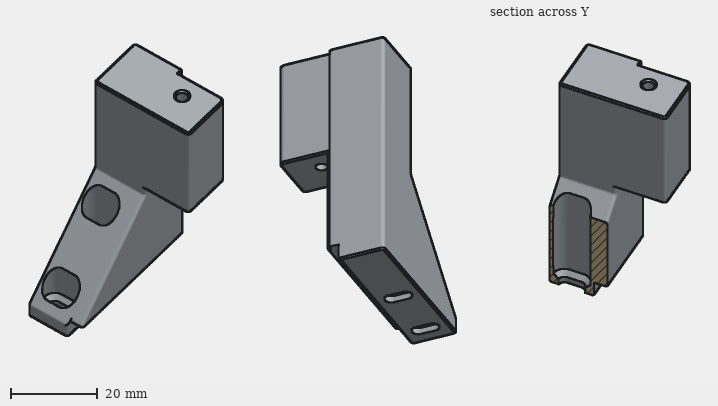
import cadquery as cq
import math

WIDTH = 27.5
DEPTH = 40.5
HEIGHT = 58.0

COLUMN_WIDTH = 14.95
HEAD_FRONT = 25.0
HEAD_BOTTOM = 31.05

FOOT_WIDTH = 11.5
FOOT_HEIGHT = 4.05
SLOPE_TOP = FOOT_HEIGHT + HEAD_FRONT
SLOPE_MIDDLE_Z = (FOOT_HEIGHT + SLOPE_TOP) / 2

RELIEF_X = 14.1
RELIEF_DEPTH = 1.5
RELIEF_FACE_Y = DEPTH - RELIEF_DEPTH

EDGE_RADIUS = 0.8
EDGE_CHAMFER = 0.4
BACK_CORNER_RADIUS = 1.5

SLOT_X = 5.75
SLOT_YS = (5.0, 20.0)
SLOT_TRAVEL = 3.6
SLOT_WIDTH = 3.2
POCKET_WIDTH = 5.8
POCKET_FLOOR = 3.0

COUNTERSINK_ANGLE = 90

HOLE_X = 18.9
HOLE_Y = 33.7
HOLE_DIAMETER = 2.85
HOLE_RIM_DIAMETER = 3.75


def edges_through(body, points):
    """The edges of a body that pass closest to the given points."""
    found = body.edges(cq.selectors.NearestToPointSelector(points[0]))
    for point in points[1:]:
        found = found.add(body.edges(cq.selectors.NearestToPointSelector(point)))
    return found


def block(low, high):
    """Rectangular block between two opposite corners."""
    size = [end - start for start, end in zip(low, high)]
    return cq.Workplane("XY", origin=low).box(*size, centered=False)


def make_foot_side():
    """Left part: upright with a sloped brace that runs down to the foot."""
    body = (
        cq.Workplane("YZ")
        .polyline([
            (0, 0),
            (DEPTH, 0),
            (DEPTH, HEIGHT),
            (HEAD_FRONT, HEIGHT),
            (HEAD_FRONT, SLOPE_TOP),
            (0, FOOT_HEIGHT),
        ])
        .close()
        .extrude(FOOT_WIDTH)
    )
    middle_x = FOOT_WIDTH / 2
    rounded = [
        (0, DEPTH, HEIGHT / 2),
        (0, HEAD_FRONT, (SLOPE_TOP + HEIGHT) / 2),
        (0, HEAD_FRONT / 2, SLOPE_MIDDLE_Z),
        (0, 0, FOOT_HEIGHT / 2),
        (FOOT_WIDTH, 0, FOOT_HEIGHT / 2),
        (middle_x, 0, FOOT_HEIGHT),
        (middle_x, HEAD_FRONT, SLOPE_TOP),
    ]
    body = edges_through(body, rounded).fillet(EDGE_RADIUS)
    return body.faces("<Z").edges().chamfer(EDGE_CHAMFER)


def make_column_side():
    """Right part: column raised above the base plane, carrying the head."""
    start_x = FOOT_WIDTH / 2
    brace = (
        cq.Workplane("YZ", origin=(start_x, 0, 0))
        .polyline([
            (0, FOOT_HEIGHT),
            (RELIEF_FACE_Y, FOOT_HEIGHT),
            (RELIEF_FACE_Y, HEIGHT),
            (HEAD_FRONT, HEIGHT),
            (HEAD_FRONT, SLOPE_TOP),
        ])
        .close()
        .extrude(COLUMN_WIDTH - start_x)
    )
    head = block((start_x, HEAD_FRONT, HEAD_BOTTOM), (WIDTH, RELIEF_FACE_Y, HEIGHT))
    back_strip = block((start_x, RELIEF_FACE_Y, FOOT_HEIGHT), (RELIEF_X, DEPTH, HEIGHT))
    body = brace.union(head).union(back_strip).clean()

    head_middle_z = (HEAD_BOTTOM + HEIGHT) / 2
    body = edges_through(body, [(WIDTH, RELIEF_FACE_Y, head_middle_z)]).fillet(BACK_CORNER_RADIUS)
    rounded = [
        (RELIEF_X, DEPTH, HEIGHT / 2),
        (WIDTH, HEAD_FRONT, head_middle_z),
        (COLUMN_WIDTH, HEAD_FRONT, (SLOPE_TOP + HEAD_BOTTOM) / 2),
        (COLUMN_WIDTH, HEAD_FRONT / 2, SLOPE_MIDDLE_Z),
        (COLUMN_WIDTH, HEAD_FRONT, FOOT_HEIGHT),
        (FOOT_WIDTH, 0, FOOT_HEIGHT),
        (FOOT_WIDTH, HEAD_FRONT, SLOPE_TOP),
    ]
    body = edges_through(body, rounded).fillet(EDGE_RADIUS)
    overhang_middle_x = (COLUMN_WIDTH + WIDTH) / 2
    head_rim = [
        (overhang_middle_x, HEAD_FRONT, HEAD_BOTTOM),
        (WIDTH, (HEAD_FRONT + RELIEF_FACE_Y) / 2, HEAD_BOTTOM),
        (overhang_middle_x, RELIEF_FACE_Y, HEAD_BOTTOM),
    ]
    return edges_through(body, head_rim).chamfer(EDGE_CHAMFER)


def slot_prism(width, bottom, height):
    """Vertical slot, centred on the origin, with a fixed travel along X."""
    return (
        cq.Workplane("XY", origin=(0, 0, bottom))
        .slot2D(SLOT_TRAVEL + width, width)
        .extrude(height)
    )


def make_slot_cutter():
    """Clearance slot opening by a countersunk flare into the screw head pocket."""
    half_angle = COUNTERSINK_ANGLE / 2
    flare_depth = (POCKET_WIDTH - SLOT_WIDTH) / 2 / math.tan(math.radians(half_angle))
    funnel = (
        cq.Workplane("XY", origin=(0, 0, POCKET_FLOOR))
        .slot2D(SLOT_TRAVEL + POCKET_WIDTH, POCKET_WIDTH)
        .extrude(-flare_depth, taper=half_angle)
    )
    return (
        slot_prism(SLOT_WIDTH, 0, POCKET_FLOOR)
        .union(funnel)
        .union(slot_prism(POCKET_WIDTH, POCKET_FLOOR, SLOPE_TOP - POCKET_FLOOR))
    )


body = make_foot_side().union(make_column_side()).clean()
body = body.faces(">Z").edges().chamfer(EDGE_CHAMFER)

slot_cutter = make_slot_cutter()
for slot_y in SLOT_YS:
    body = body.cut(slot_cutter.translate((SLOT_X, slot_y, 0)))

result = (
    body.faces(">Z")
    .workplane(origin=(HOLE_X, HOLE_Y, HEIGHT))
    .cskHole(HOLE_DIAMETER, HOLE_RIM_DIAMETER, COUNTERSINK_ANGLE)
)